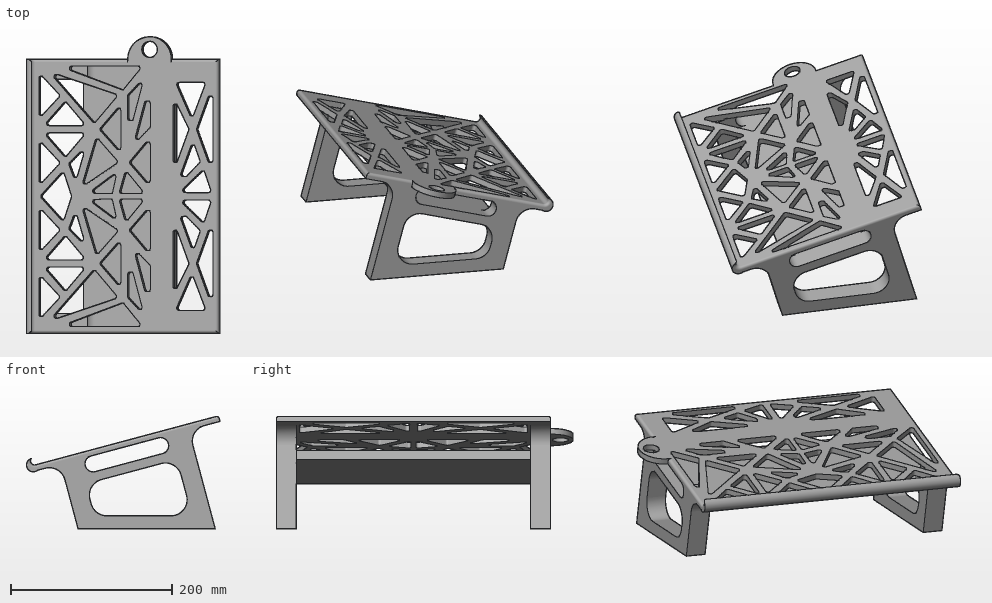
import cadquery as cq
import math


TILT = 15.0
TAN_TILT = math.tan(math.radians(TILT))
COS_TILT = math.cos(math.radians(TILT))
SIN_TILT = math.sin(math.radians(TILT))

TRAY_LENGTH = 246.2
TRAY_WIDTH = 340.0
TRAY_THICKNESS = 7.5
RIM_RADIUS = 3.5
HALF_WIDTH = TRAY_WIDTH / 2

LIP_RADIUS = 8.5
LIP_DROP = 0.7
LIP_FOOT = 11.5
LIP_TIP = (LIP_RADIUS, 2 * LIP_RADIUS - LIP_DROP - TRAY_THICKNESS)
HOLLOW_MID_ANGLE = math.radians(60)

TAB_RADIUS = 28.0
TAB_POSITION = 157.5
TAB_HOLE_DIAMETER = 20.0
TAB_HOLE_OFFSET = 12.0

LEG_THICKNESS = 25.0
LEG_REAR_OVERHANG = 40.0
LEG_LENGTH = 164.5
LEG_REAR_DEPTH = 134.5
LEG_FILLET = 20.0
LEG_REAR = TRAY_LENGTH - LEG_REAR_OVERHANG
LEG_FRONT = LEG_REAR - LEG_LENGTH

SLOT_HEIGHT = 20.0
SLOT_LENGTH = 106.5
SLOT_MARGIN = 29.0
SLOT_FRONT = LEG_FRONT + SLOT_MARGIN
SHELF_THICKNESS = 11.8
SHELF_TOP = -TRAY_THICKNESS - SLOT_HEIGHT
SHELF_BOTTOM = SHELF_TOP - SHELF_THICKNESS
WINDOW_MARGIN = 24.0
WINDOW_SILL = 16.2
WINDOW_RADIUS = 20.0
WINDOW_FRONT = LEG_FRONT + WINDOW_MARGIN
WINDOW_REAR = LEG_REAR - WINDOW_MARGIN

CELL_RADIUS = 3.0
CELL_DEPTH = 9.0
BAY_CENTER = 83.0
FRONT_CELL_OFFSET = BAY_CENTER / 2
LIP_CELL_BASE = 18.5
LIP_CELL_APEX = 39.0
LIP_CELL_HALF = 21.5
SPINE_CELL_ENDS = (28.5, 69.5)
SPINE_CELL_MIDDLE = 49.3
SPINE_CELL_BASE = 7.5
SPINE_CELL_APEX = 30.5

SIDE_CELLS = [
    [(38.0, 148.3), (112.2, 124.0), (86.5, 94.5)],
    [(57.8, 158.5), (142.5, 158.5), (122.5, 135.0)],
    [(132.5, 124.5), (145.0, 137.3), (134.0, 96.8), (132.5, 96.8)],
    [(154.0, 115.0), (155.5, 115.0), (155.5, 87.0), (142.5, 73.5)],
    [(97.0, BAY_CENTER), (117.8, 106.5), (117.8, 60.7)],
]
CENTER_CELLS = [
    [(90.5, 68.0), (113.5, 43.0), (75.0, 18.0)],
    [(70.0, 52.3), (57.0, 39.7), (62.2, 26.5)],
    [(87.5, 6.5), (111.5, 24.0), (107.5, 6.3)],
    [(128.0, 26.5), (122.0, 6.3), (145.5, 6.3)],
    [(135.0, 42.0), (154.5, 64.5), (155.5, 64.5), (155.5, 20.2), (154.5, 20.2)],
]
REAR_CELLS = [
    [(195.5, 138.5), (225.5, 138.5), (211.5, 102.5)],
    [(190.5, 111.5), (205.0, BAY_CENTER), (190.5, 45.0)],
    [(235.0, 121.5), (236.0, 121.5), (236.0, 45.0), (235.0, 45.0), (220.8, BAY_CENTER)],
    [(213.0, 60.7), (219.5, 43.5), (203.5, 27.5), (200.5, 27.5)],
    [(225.5, 28.7), (233.0, 7.7), (203.0, 7.7)],
]
DIAMOND_CELL = [(45.5, 26.0), (21.0, 0), (45.5, -26.0), (54.5, 0)]


def foot_height(along):
    """Height, in the tray frame, of the level ground plane under the legs."""
    return -LEG_REAR_DEPTH + (LEG_REAR - along) * TAN_TILT


def front_bay_cells():
    """Triangles near the lip, mirrored about the bay's middle line."""
    cells = []
    for side in (-1, 1):
        middle = BAY_CENTER + side * FRONT_CELL_OFFSET
        cells.append([
            (LIP_CELL_BASE, middle + LIP_CELL_HALF),
            (LIP_CELL_APEX, middle),
            (LIP_CELL_BASE, middle - LIP_CELL_HALF),
        ])
        base = BAY_CENTER + side * SPINE_CELL_BASE
        apex = BAY_CENTER + side * SPINE_CELL_APEX
        cells.append([(SPINE_CELL_MIDDLE, apex)] + [(end, base) for end in SPINE_CELL_ENDS])
    return cells


def cell_cutter(corners):
    """Rounded prism through the tray, biting slightly into whatever lies beneath it."""
    return cq.Workplane("XY").polyline(corners).close().offset2D(CELL_RADIUS).extrude(-CELL_DEPTH)


def make_panel():
    """Tray panel and lip in one profile, with the top edges rounded over on three sides."""
    tip_x, tip_z = LIP_TIP
    tip_reach = LIP_FOOT - tip_x
    hollow_radius = (tip_reach**2 + tip_z**2) / (2 * tip_z)
    hollow_mid = (
        LIP_FOOT - hollow_radius * math.sin(HOLLOW_MID_ANGLE),
        hollow_radius * (1 - math.cos(HOLLOW_MID_ANGLE)),
    )
    lip_center_z = tip_z - LIP_RADIUS
    lip_root_x = LIP_RADIUS + math.sqrt(LIP_RADIUS**2 - (LIP_RADIUS - LIP_DROP) ** 2)
    return (
        cq.Workplane("XZ", origin=(0, HALF_WIDTH, 0))
        .moveTo(lip_root_x, -TRAY_THICKNESS)
        .threePointArc((0, lip_center_z), LIP_TIP)
        .threePointArc(hollow_mid, (LIP_FOOT, 0))
        .lineTo(TRAY_LENGTH, 0)
        .lineTo(TRAY_LENGTH, -TRAY_THICKNESS)
        .close()
        .extrude(TRAY_WIDTH)
        .edges("(|X) or (|Y and >X)")
        .edges(">Z")
        .fillet(RIM_RADIUS)
    )


def make_tab():
    """Round-ended hanging tab, rooted far enough in to fill the rim's rounding."""
    root = HALF_WIDTH - RIM_RADIUS
    return (
        cq.Workplane("XY")
        .moveTo(TAB_POSITION - TAB_RADIUS, root)
        .lineTo(TAB_POSITION - TAB_RADIUS, HALF_WIDTH)
        .threePointArc(
            (TAB_POSITION, HALF_WIDTH + TAB_RADIUS),
            (TAB_POSITION + TAB_RADIUS, HALF_WIDTH),
        )
        .lineTo(TAB_POSITION + TAB_RADIUS, root)
        .close()
        .extrude(-TRAY_THICKNESS)
    )


def make_tab_hole():
    return (
        cq.Workplane("XY")
        .center(TAB_POSITION, HALF_WIDTH + TAB_HOLE_OFFSET)
        .circle(TAB_HOLE_DIAMETER / 2)
        .extrude(-TRAY_THICKNESS)
    )


def make_leg(near_face):
    """Leg of LEG_THICKNESS whose +Y face lies at near_face."""
    under = -TRAY_THICKNESS
    mid = LEG_FILLET * (1 - math.sqrt(0.5))
    plane = cq.Workplane("XZ", origin=(0, near_face, 0))
    body = (
        plane.moveTo(LEG_FRONT, foot_height(LEG_FRONT))
        .lineTo(LEG_REAR, foot_height(LEG_REAR))
        .lineTo(LEG_REAR, under - LEG_FILLET)
        .threePointArc((LEG_REAR + mid, under - mid), (LEG_REAR + LEG_FILLET, under))
        .lineTo(LEG_FRONT - LEG_FILLET, under)
        .threePointArc((LEG_FRONT - mid, under - mid), (LEG_FRONT, under - LEG_FILLET))
        .close()
        .extrude(LEG_THICKNESS)
    )
    slot = (
        plane.pushPoints([(SLOT_FRONT + SLOT_LENGTH / 2, SHELF_TOP + SLOT_HEIGHT / 2)])
        .slot2D(SLOT_LENGTH, SLOT_HEIGHT)
        .extrude(LEG_THICKNESS)
    )
    sill = WINDOW_SILL / COS_TILT
    window = (
        plane.polyline([
            (WINDOW_FRONT, SHELF_BOTTOM),
            (WINDOW_REAR, SHELF_BOTTOM),
            (WINDOW_REAR, foot_height(WINDOW_REAR) + sill),
            (WINDOW_FRONT, foot_height(WINDOW_FRONT) + sill),
        ])
        .close()
        .extrude(LEG_THICKNESS)
        .edges("|Y")
        .fillet(WINDOW_RADIUS)
    )
    return body.cut(slot).cut(window)


def make_shelf():
    return cq.Workplane("XY", origin=(WINDOW_FRONT, -HALF_WIDTH + LEG_THICKNESS, SHELF_BOTTOM)).box(
        WINDOW_REAR - WINDOW_FRONT, TRAY_WIDTH - 2 * LEG_THICKNESS, SHELF_THICKNESS, centered=False
    )


stand = (
    make_panel()
    .union(make_tab())
    .union(make_leg(HALF_WIDTH))
    .union(make_leg(-HALF_WIDTH + LEG_THICKNESS))
    .union(make_shelf())
    .cut(make_tab_hole())
)
stand = stand.cut(cell_cutter(DIAMOND_CELL))
for cell in front_bay_cells() + SIDE_CELLS + CENTER_CELLS + REAR_CELLS:
    cutter = cell_cutter(cell)
    stand = stand.cut(cutter).cut(cutter.mirror("XZ"))

ground = LEG_REAR_DEPTH * COS_TILT - LEG_REAR * SIN_TILT
result = stand.rotate((0, 0, 0), (0, 1, 0), -TILT).translate((0, 0, ground))